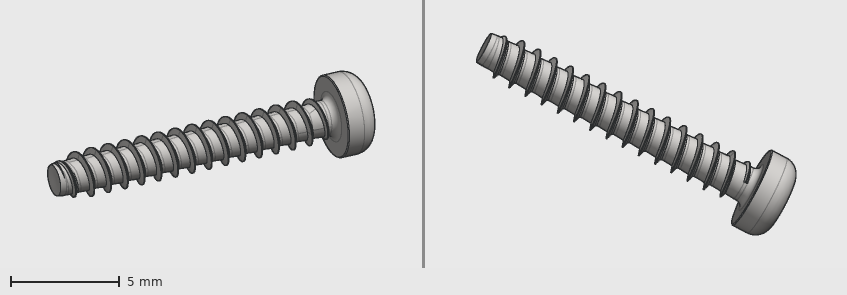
import cadquery as cq
import math


total_length = 15.6
head_diameter = 3.9
head_radius = head_diameter / 2
head_height = 1.62
shank_length = total_length - head_height

crown_radius = 0.81
seat_edge_chamfer = 0.05

core_radius = 0.78
neck_radius = 0.85
neck_fillet = 0.35
neck_end_depth = 0.5
core_start_depth = 1.28
tip_taper_length = 0.28
tip_radius = 0.73
tip_dish_depth = 0.06

first_crest_turn = 0.25
first_crest_depth = 1.67
last_crest_depth = 12.68
pitches_between_crests = 13
pitch = (last_crest_depth - first_crest_depth) / pitches_between_crests
crest_radius = 1.1
crest_half_width = 0.023
flank_foot_offset = 0.11
shoulder_height = 0.03
head_toe_offset = 0.2
head_toe_height = 0.05
shoulder_end_offset = 0.53
core_overlap = 0.008
run_in_turns = 1.2
run_in_crest_radius = 0.97
run_out_turns = 1.25
run_out_crest_radius = 0.8
run_out_root_share = 0.25
run_out_shoulder_end_offset = 0.19
points_per_turn = 12


def make_body():
    """Head and shank, revolved from half of the lengthwise section."""
    crown_flat_radius = head_radius - crown_radius
    crown_mid_radius = crown_flat_radius + crown_radius * math.sin(math.pi / 4)
    crown_mid_height = head_height - crown_radius * (1 - math.cos(math.pi / 4))
    fillet_mid = neck_fillet * (1 - math.cos(math.pi / 4))
    section = (
        cq.Workplane("XY")
        .moveTo(0, head_height)
        .lineTo(crown_flat_radius, head_height)
        .threePointArc((crown_mid_radius, crown_mid_height), (head_radius, head_height - crown_radius))
        .lineTo(head_radius, seat_edge_chamfer)
        .lineTo(head_radius - seat_edge_chamfer, 0)
        .lineTo(neck_radius + neck_fillet, 0)
        .threePointArc((neck_radius + fillet_mid, -fillet_mid), (neck_radius, -neck_fillet))
        .lineTo(neck_radius, -neck_end_depth)
        .lineTo(core_radius, -core_start_depth)
        .lineTo(core_radius, -(shank_length - tip_taper_length))
        .lineTo(tip_radius, -shank_length)
        .lineTo(0, -(shank_length - tip_dish_depth))
        .close()
    )
    return section.revolve(360, (0, 0, 0), (0, 1, 0))


def tooth_profile(crest, shoulder_end, root_share=1.0):
    """Tooth outline as (offset from the crest toward the tip, radius).

    Both flanks are steep. On the head side a short toe leads down to the core, on the tip side a long
    gentle shoulder; root_share scales the heights of both. The outline runs on slightly below the
    core surface so that the tooth overlaps the core.
    """
    sunk_radius = core_radius - core_overlap
    shoulder_length = shoulder_end - flank_foot_offset
    sunk_end = shoulder_end + shoulder_length * core_overlap / shoulder_height
    return [
        (-head_toe_offset, sunk_radius),
        (-flank_foot_offset, core_radius + root_share * head_toe_height),
        (-crest_half_width, crest),
        (crest_half_width, crest),
        (flank_foot_offset, core_radius + root_share * shoulder_height),
        (sunk_end, sunk_radius),
    ]


def thread_point(turn, offset, radius):
    """Point on the right-hand helix; turns count from +X through +Z, away from the head."""
    angle = 2 * math.pi * turn
    depth = first_crest_depth + pitch * (turn - first_crest_turn) + offset
    return cq.Vector(radius * math.cos(angle), -depth, radius * math.sin(angle))


def thread_section(start_turn, end_turn, start_profile, end_profile):
    """Solid thread stretch whose tooth changes evenly from one profile to the other."""
    steps = math.ceil((end_turn - start_turn) * points_per_turn)
    shares = [step / steps for step in range(steps + 1)]
    rails = []
    for (start_offset, start_radius), (end_offset, end_radius) in zip(start_profile, end_profile):
        points = []
        for share in shares:
            turn = start_turn + share * (end_turn - start_turn)
            offset = start_offset + share * (end_offset - start_offset)
            radius = start_radius + share * (end_radius - start_radius)
            points.append(thread_point(turn, offset, radius))
        rails.append(cq.Edge.makeSpline(points, parameters=shares))
    faces = [cq.Face.makeRuledSurface(rails[i - 1], rails[i]) for i in range(len(rails))]
    for turn, profile in ((start_turn, start_profile), (end_turn, end_profile)):
        corners = [thread_point(turn, offset, radius) for offset, radius in profile]
        faces.append(cq.Face.makeFromWires(cq.Wire.makePolygon(corners, close=True)))
    return cq.Solid.makeSolid(cq.Shell.makeShell(faces)).fix()


def make_thread():
    """Run-in, full-height turns and run-out, in order from the head."""
    full = tooth_profile(crest_radius, shoulder_end_offset)
    run_in = tooth_profile(run_in_crest_radius, shoulder_end_offset)
    run_out = tooth_profile(run_out_crest_radius, run_out_shoulder_end_offset, run_out_root_share)

    full_end = first_crest_turn + pitches_between_crests
    full_turns = [
        thread_section(first_crest_turn + index, first_crest_turn + index + 1, full, full)
        for index in range(pitches_between_crests)
    ]
    return [
        thread_section(-run_in_turns, 0, run_in, full),
        thread_section(0, first_crest_turn, full, full),
        *full_turns,
        thread_section(full_end, full_end + run_out_turns, full, run_out),
    ]


screw = make_body().val().fuse(*make_thread())
result = cq.Workplane(obj=screw).solids()